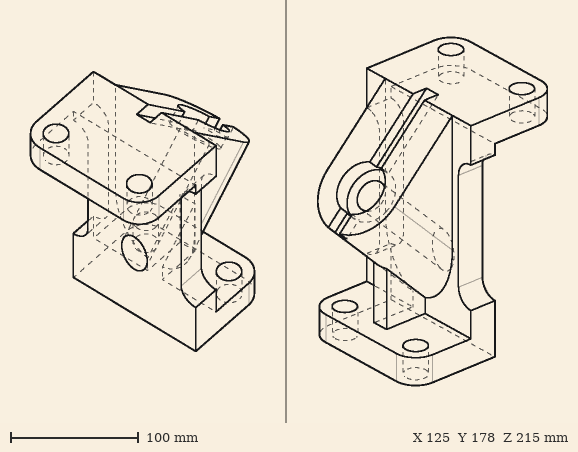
import cadquery as cq
import math

height = 215.0
width = 125.0
thickness = 25.0

top_reach = 90.0
base_reach = 60.0
corner_radius = 20.0
flange_hole_diameter = 20.0

waist_width = 95.0
waist_bottom = 50.0
waist_top = 180.0
waist_corner_radius = 15.0

face_angle = 45.0
boss_radius = 40.2
boss_axis_reach = 60.0
counterbore_diameter = 45.0
counterbore_depth = 15.0
bore_diameter = 26.0
slot_width = 13.8
slot_depth = 9.9

rib_width = 15.0
rib_reach = 40.0

boss_face_distance = boss_axis_reach / math.cos(math.radians(face_angle))
boss_axis_height = height - boss_axis_reach * math.tan(math.radians(face_angle))
through_length = height


def box(size_x, y_min, y_max, z_min, z_max):
    """Block centred on X = 0."""
    return cq.Workplane("XY").box(size_x, y_max - y_min, z_max - z_min).translate(
        (0, (y_min + y_max) / 2, (z_min + z_max) / 2)
    )


def flange(y_min, y_max, z_min, rounded_side):
    """Flange with two rounded corners and a hole concentric with each."""
    plate = box(width, y_min, y_max, z_min, z_min + thickness)
    plate = plate.faces(rounded_side).edges("|Z").fillet(corner_radius)
    hole_y = y_min + corner_radius if rounded_side == "<Y" else y_max - corner_radius
    hole_x = width / 2 - corner_radius
    holes = (
        cq.Workplane("XY", origin=(0, 0, z_min))
        .pushPoints([(-hole_x, hole_y), (hole_x, hole_y)])
        .circle(flange_hole_diameter / 2)
        .extrude(thickness)
    )
    return plate.cut(holes)


def waisted_web():
    """Upright web with a round-cornered recess in each side."""
    web = box(width, -thickness, 0, 0, height)
    for side in (-1, 1):
        recess = box(width - waist_width, -thickness, 0, waist_bottom, waist_top)
        inner_side = ">X" if side < 0 else "<X"
        recess = recess.faces(inner_side).edges("|Y").fillet(waist_corner_radius)
        web = web.cut(recess.translate((side * width / 2, 0, 0)))
    return web


face_plane = cq.Plane(
    origin=(0, boss_axis_reach, boss_axis_height),
    xDir=(-1, 0, 0),
    normal=(0, math.sin(math.radians(face_angle)), math.cos(math.radians(face_angle))),
)


def inclined_boss():
    """Round-ended boss running square to its face until it meets the web."""
    outline = (
        cq.Workplane(face_plane)
        .moveTo(-boss_radius, boss_face_distance)
        .lineTo(-boss_radius, 0)
        .threePointArc((0, -boss_radius), (boss_radius, 0))
        .lineTo(boss_radius, boss_face_distance)
        .close()
    )
    boss = outline.extrude(-through_length)
    return boss.intersect(box(width, 0, height, 0, height))


def boss_bore(diameter, depth):
    return cq.Workplane(face_plane).circle(diameter / 2).extrude(-depth)


def face_slot():
    """Straight slot along the full slope, running out through the top."""
    slot_length = 2 * height
    return cq.Workplane(face_plane).rect(slot_width, slot_length).extrude(-slot_depth)


def support_rib():
    """Upright rib whose top is buried inside the boss."""
    rib_top = boss_axis_height - boss_axis_reach
    return box(rib_width, 0, rib_reach, 0, rib_top)


result = (
    waisted_web()
    .union(flange(-top_reach, 0, height - thickness, "<Y"))
    .union(flange(-thickness, base_reach, 0, ">Y"))
    .union(inclined_boss())
    .union(support_rib())
    .cut(boss_bore(counterbore_diameter, counterbore_depth))
    .cut(boss_bore(bore_diameter, through_length))
    .cut(face_slot())
)